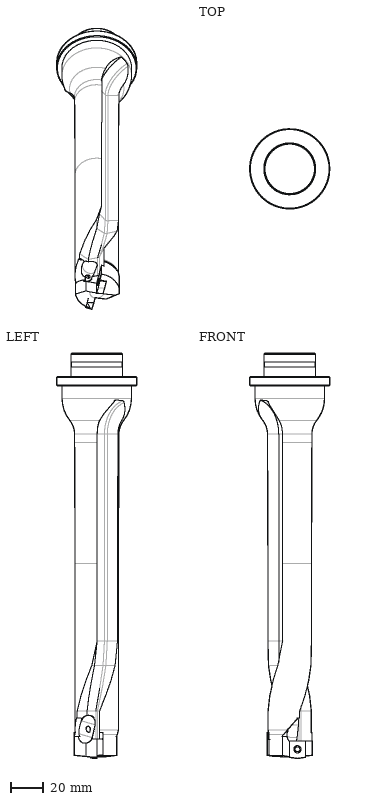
import cadquery as cq
import math

TOTAL_LENGTH = 250.0
SHANK_RADIUS = 16.0
GROOVE_DEPTH = 0.12
GROOVE_RADIUS = SHANK_RADIUS - GROOVE_DEPTH
GROOVE_BOTTOM = 241.5
GROOVE_TOP = 244.5
SHANK_CHAMFER = 0.8
FLANGE_RADIUS = 24.8
FLANGE_TOP = 235.5
FLANGE_BOTTOM = 229.8
FLANGE_CHAMFER = 0.5
HEAD_RADIUS = 21.5
HEAD_CENTRE_Z = 222.0

NECK_RADIUS = 13.8
NECK_TOP = 200.0
NECK_BOTTOM = 194.8
STEM_RADIUS = 13.5
TAPER_BOTTOM = 120.2
TIP_STEP_TOP = 17.8
TIP_STEP_BOTTOM = 14.8
TIP_RADIUS = 13.2
TIP_RIM_Z = 2.0
TIP_CENTRE_Z = 1.0
TIP_FLAT_RADIUS = 4.2
PAD_RADIUS = 14.0
PAD_TOP = 16.0
GUIDE_PAD_SWEEP = 90.0
BACKING_PAD_BOTTOM = 12.2
BACKING_PAD_SWEEP = 16.0

FLUTE_WALL_Y = -0.2
FLUTE_MOUTH_X = -17.5
FLUTE_CORNER_X = -6.8
FLUTE_ROUND_START = (-3.0, -4.8)
FLUTE_ROUND_END = (-2.8, -6.5)
FLUTE_MOUTH_END = (-5.8, -18.0)
RUNOUT_AXIS_DISTANCE = 26.8
RUNOUT_TURN = 90.0
TWIST_START = 72.5
TWIST_FASTER = 57.5
TWIST_END = 29.2
FLUTE_END = 11.0
SLOW_TWIST = 14.0
FAST_TWIST = 50.0
HALF_TURN = 180.0

SCOOP_RADIUS = 4.8
SCOOP_TOP = (-3.0, 5.0, 22.0)
SCOOP_BOTTOM = (-3.0, 7.2, 14.2)
COOLANT_RADIUS = 1.2
COOLANT_START = (0.0, 5.2, 16.5)
COOLANT_LENGTH = 7.5
POCKET_TOP = 13.8
POCKET_FACE_Y = 6.8
POCKET_SLANT_X = 4.5
POCKET_SLANT_Y = 6.0
RAMP_X = -5.0
RAMP_TOP = 25.0
CLEAR = 20.0

INSERT_WIDTH = 10.0
INSERT_HEIGHT = 11.0
INSERT_POINT = 0.8
INSERT_THICKNESS = 4.0
INSERT_RELIEF = 5.0
INSERT_HOLE_RADIUS = 1.5
INSERT_SINK_RADIUS = 2.2
INSERT_SINK_DEPTH = 1.0
INSERT_HOLE_Z = 5.8
INNER_CENTRE = 4.8
OUTER_CENTRE = PAD_RADIUS - INSERT_WIDTH / 2
OUTER_RAISE = 1.2
SEATS = [(INNER_CENTRE, 0.0, 0.0), (OUTER_CENTRE, OUTER_RAISE, HALF_TURN)]


def turned(shape, angle):
    """Turn a shape about the drill axis."""
    return shape.rotate((0, 0, 0), (0, 0, 1), angle)


def on_head(angle):
    """Point of the head sphere, as radius and height, at an angle below its equator."""
    return (HEAD_RADIUS * math.cos(angle), HEAD_CENTRE_Z - HEAD_RADIUS * math.sin(angle))


def turned_blank():
    """Shank, flange, head and stem before any flute is cut."""
    drop = HEAD_CENTRE_Z - NECK_TOP
    blend_radius = (NECK_RADIUS**2 + drop**2 - HEAD_RADIUS**2) / (2 * (HEAD_RADIUS - NECK_RADIUS))
    blend_angle = math.atan2(drop, NECK_RADIUS + blend_radius)
    tangent_point = on_head(blend_angle)
    sphere_mid = on_head(blend_angle / 2)
    return (
        cq.Workplane("XZ")
        .moveTo(0, TIP_CENTRE_Z)
        .lineTo(TIP_FLAT_RADIUS, TIP_CENTRE_Z)
        .lineTo(TIP_RADIUS, TIP_RIM_Z)
        .lineTo(TIP_RADIUS, TIP_STEP_BOTTOM)
        .lineTo(STEM_RADIUS, TIP_STEP_TOP)
        .lineTo(STEM_RADIUS, TAPER_BOTTOM)
        .lineTo(NECK_RADIUS, NECK_BOTTOM)
        .lineTo(NECK_RADIUS, NECK_TOP)
        .tangentArcPoint(tangent_point, relative=False)
        .threePointArc(sphere_mid, (HEAD_RADIUS, HEAD_CENTRE_Z))
        .lineTo(HEAD_RADIUS, FLANGE_BOTTOM)
        .lineTo(FLANGE_RADIUS - FLANGE_CHAMFER, FLANGE_BOTTOM)
        .lineTo(FLANGE_RADIUS, FLANGE_BOTTOM + FLANGE_CHAMFER)
        .lineTo(FLANGE_RADIUS, FLANGE_TOP - FLANGE_CHAMFER)
        .lineTo(FLANGE_RADIUS - FLANGE_CHAMFER, FLANGE_TOP)
        .lineTo(SHANK_RADIUS, FLANGE_TOP)
        .lineTo(SHANK_RADIUS, GROOVE_BOTTOM)
        .lineTo(GROOVE_RADIUS, GROOVE_BOTTOM)
        .lineTo(GROOVE_RADIUS, GROOVE_TOP)
        .lineTo(SHANK_RADIUS, GROOVE_TOP)
        .lineTo(SHANK_RADIUS, TOTAL_LENGTH - SHANK_CHAMFER)
        .lineTo(SHANK_RADIUS - SHANK_CHAMFER, TOTAL_LENGTH)
        .lineTo(0, TOTAL_LENGTH)
        .close()
        .revolve(360, (0, 0), (0, 1))
    )


def pad(bottom_points, sweep):
    """Sector of the wider tip, starting at +X, from its bottom outline and its sweep angle."""
    return (
        cq.Workplane("XZ")
        .polyline([*bottom_points, (PAD_RADIUS, PAD_TOP), (0, PAD_TOP)])
        .close()
        .revolve(sweep, (0, 0), (0, 1))
    )


def guide_pad():
    """Quarter ring that supports the tip on its +X, +Y side."""
    bottom = [(0, TIP_CENTRE_Z), (TIP_FLAT_RADIUS, TIP_CENTRE_Z), (PAD_RADIUS, TIP_RIM_Z)]
    return pad(bottom, GUIDE_PAD_SWEEP)


def backing_pad():
    """Narrow sector on the -X side, above the outer insert."""
    bottom = [(0, BACKING_PAD_BOTTOM), (PAD_RADIUS, BACKING_PAD_BOTTOM)]
    return turned(pad(bottom, BACKING_PAD_SWEEP), HALF_TURN)


def flute_outline(height):
    """Closed section of one flute at a height on the drill axis."""
    return (
        cq.Workplane("XY", origin=(0, 0, height))
        .moveTo(FLUTE_MOUTH_X, FLUTE_WALL_Y)
        .lineTo(FLUTE_CORNER_X, FLUTE_WALL_Y)
        .lineTo(*FLUTE_ROUND_START)
        .tangentArcPoint(FLUTE_ROUND_END, relative=False)
        .lineTo(*FLUTE_MOUTH_END)
        .close()
    )


def flute_stages():
    """Cutters of one flute: runout in the head, straight run, two twisted stages, straight tip."""
    axis_reach = RUNOUT_AXIS_DISTANCE * math.sqrt(2)
    axis_start = (-axis_reach, 0)
    axis_end = (0, -axis_reach)
    runout = flute_outline(NECK_TOP).revolve(RUNOUT_TURN, axis_start, axis_end)
    straight = flute_outline(TWIST_START).extrude(NECK_TOP - TWIST_START)
    slow = flute_outline(TWIST_START).twistExtrude(TWIST_FASTER - TWIST_START, SLOW_TWIST)
    fast = flute_outline(TWIST_FASTER).twistExtrude(TWIST_END - TWIST_FASTER, FAST_TWIST)
    tip = flute_outline(TWIST_END).extrude(FLUTE_END - TWIST_END)
    return [
        runout,
        straight,
        slow,
        turned(fast, -SLOW_TWIST),
        turned(tip, -SLOW_TWIST - FAST_TWIST),
    ]


def chip_scoop():
    """Round-ended scoop that deepens the flute above an insert."""
    top = cq.Vector(*SCOOP_TOP)
    bottom = cq.Vector(*SCOOP_BOTTOM)
    along = bottom - top
    scoop = cq.Workplane(cq.Solid.makeCylinder(SCOOP_RADIUS, along.Length, top, along))
    for end in (SCOOP_TOP, SCOOP_BOTTOM):
        scoop = scoop.union(cq.Workplane("XY").sphere(SCOOP_RADIUS).translate(end))
    return scoop


def coolant_hole():
    """Slanted coolant outlet in the floor of the scoop."""
    direction = cq.Vector(1, 0, 1)
    return cq.Workplane(
        cq.Solid.makeCylinder(COOLANT_RADIUS, COOLANT_LENGTH, cq.Vector(*COOLANT_START), direction)
    )


def chip_pocket(centre):
    """Clearance that cuts back the flute wall: a slanted wall at the tip and a ramp above it."""
    corner_x = INSERT_WIDTH / 2 - centre
    edge_x = corner_x + POCKET_SLANT_X
    outer_x = corner_x + (CLEAR - POCKET_FACE_Y) * POCKET_SLANT_X / POCKET_SLANT_Y
    slanted = (
        cq.Workplane("XY")
        .moveTo(-CLEAR, POCKET_FACE_Y)
        .lineTo(corner_x, POCKET_FACE_Y)
        .lineTo(outer_x, CLEAR)
        .lineTo(-CLEAR, CLEAR)
        .close()
        .extrude(POCKET_TOP)
    )
    ramp = (
        cq.Workplane("XZ", origin=(0, POCKET_FACE_Y, 0))
        .polyline([(-CLEAR, POCKET_TOP), (edge_x, POCKET_TOP), (RAMP_X, RAMP_TOP), (-CLEAR, RAMP_TOP)])
        .close()
        .extrude(-CLEAR)
    )
    return turned(slanted.union(ramp), HALF_TURN)


def insert_clearance(centre, raise_z):
    """Open space in front of the cutting face of an insert at angle zero."""
    inboard_x = centre - INSERT_WIDTH / 2
    height = INSERT_HEIGHT + raise_z
    return cq.Workplane("XY").box(CLEAR, CLEAR, height, centered=False).translate((inboard_x, -CLEAR, 0))


def insert_block(centre, raise_z):
    """Insert without its hole, cutting face at Y = 0 and sides tapering towards +Y."""
    half = INSERT_WIDTH / 2
    outline = [
        (0, 0),
        (half, INSERT_POINT),
        (half, INSERT_HEIGHT),
        (-half, INSERT_HEIGHT),
        (-half, INSERT_POINT),
    ]
    return (
        cq.Workplane("XZ", origin=(centre, 0, raise_z))
        .polyline(outline)
        .close()
        .extrude(-INSERT_THICKNESS, taper=INSERT_RELIEF)
    )


def insert_hole(centre, raise_z):
    """Countersunk screw hole of an insert."""
    hole_z = raise_z + INSERT_HOLE_Z
    start = cq.Vector(centre, 0, hole_z)
    direction = cq.Vector(0, 1, 0)
    bore = cq.Workplane(
        cq.Solid.makeCylinder(INSERT_HOLE_RADIUS, INSERT_THICKNESS, start, direction)
    )
    sink = cq.Solid.makeCone(INSERT_SINK_RADIUS, INSERT_HOLE_RADIUS, INSERT_SINK_DEPTH, start, direction)
    return bore.union(cq.Workplane(sink))


def drill_body():
    """Blank with both flutes, chip pockets and insert seats cut into it."""
    body = turned_blank().union(guide_pad()).union(backing_pad())
    for angle in (0.0, HALF_TURN):
        for cutter in flute_stages() + [chip_scoop(), coolant_hole()]:
            body = body.cut(turned(cutter, angle))
    for centre, raise_z, angle in SEATS:
        body = body.cut(turned(chip_pocket(centre), angle))
        body = body.cut(turned(insert_clearance(centre, raise_z), angle))
        body = body.cut(turned(insert_block(centre, raise_z), angle))
    return body


def cutting_inserts():
    """One solid for each seat."""
    inserts = []
    for centre, raise_z, angle in SEATS:
        insert = insert_block(centre, raise_z).cut(insert_hole(centre, raise_z))
        inserts.append(turned(insert, angle).val())
    return inserts


body = drill_body()
result = cq.Compound.makeCompound([*body.vals(), *cutting_inserts()])